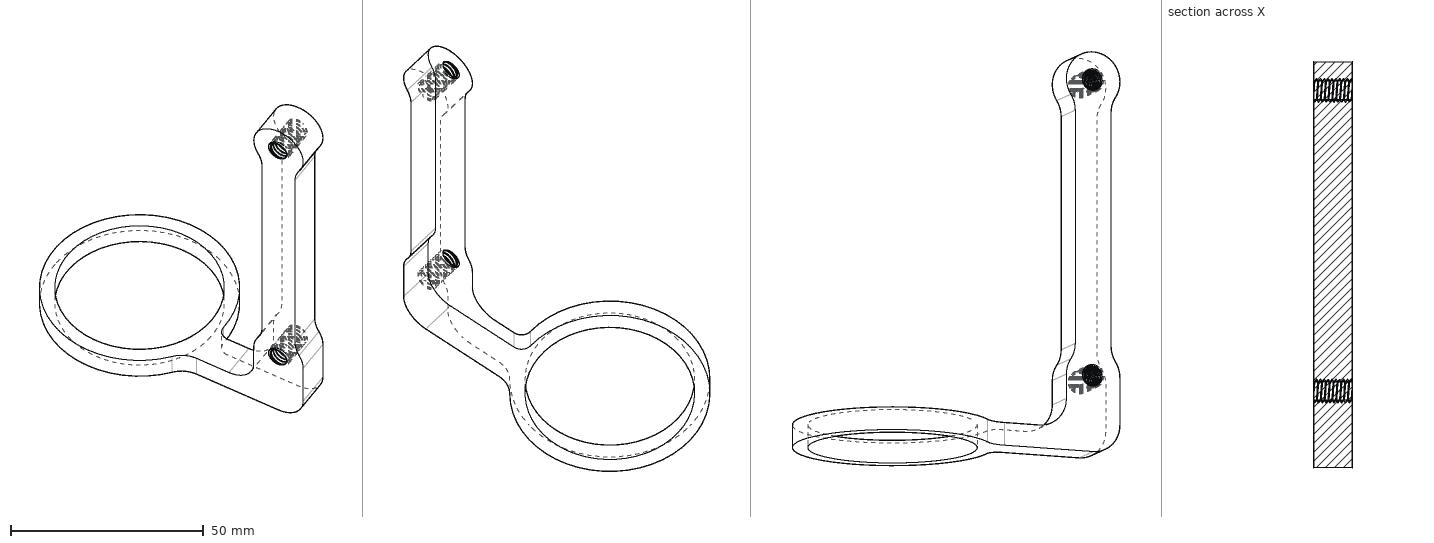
import cadquery as cq
import math

ring_diameter = 52.0
bore_diameter = 44.0
base_height = 6.0

plate_front = -14.0
plate_back = -4.0
plate_thickness = plate_back - plate_front
total_height = 105.5
head_radius = 7.5
shaft_width = 10.0
right_end = 84.0 - ring_diameter / 2
column_x = right_end - head_radius
upper_hole_z = total_height - head_radius
lower_hole_z = upper_hole_z - 78.0
bend_radius = 7.5
neck_radius = 7.5

front_blend_radius = 7.5
back_blend_radius = 3.0

minor_diameter = 5.1
major_diameter = 6.1
thread_pitch = 1.0
groove_width = 0.8
groove_overlap = 0.1


def box_between(x_min, x_max, z_min, z_max):
    """Block across the plate thickness, given by its X and Z limits."""
    return cq.Workplane("XY").box(
        x_max - x_min, plate_thickness, z_max - z_min, centered=False
    ).translate((x_min, plate_front, z_min))


def make_base():
    """Ring and horizontal arm, blended together; the bore is cut later."""
    disc = cq.Workplane("XY").circle(ring_diameter / 2).extrude(base_height)
    arm = box_between(0, column_x, 0, base_height)
    base = disc.union(arm)
    for side_y, blend_radius in (
        (plate_front, front_blend_radius),
        (plate_back, back_blend_radius),
    ):
        corner_x = math.sqrt((ring_diameter / 2) ** 2 - side_y ** 2)
        corner = cq.selectors.NearestToPointSelector((corner_x, side_y, base_height / 2))
        base = base.edges("|Z").edges(corner).fillet(blend_radius)
    return base


def make_column():
    """Upright with rounded heads at both holes and a rounded bend at its foot."""
    left = column_x - head_radius
    foot = box_between(left - 2 * bend_radius, right_end, 0, base_height)
    foot = foot.union(box_between(left, right_end, 0, lower_hole_z))
    for corner_point, radius in (
        ((left, plate_front, base_height), bend_radius),
        ((right_end, plate_front, 0), bend_radius),
    ):
        x, y, z = corner_point
        corner = cq.selectors.NearestToPointSelector((x, y + plate_thickness / 2, z))
        foot = foot.edges("|Y").edges(corner).fillet(radius)

    shaft = box_between(
        column_x - shaft_width / 2, column_x + shaft_width / 2, lower_hole_z, upper_hole_z
    )
    column = foot.union(shaft)
    for hole_z in (lower_hole_z, upper_hole_z):
        head = (
            cq.Workplane("XZ", origin=(column_x, plate_back, hole_z))
            .circle(head_radius)
            .extrude(plate_thickness)
        )
        column = column.union(head)

    neck_rise = math.sqrt(head_radius ** 2 - (shaft_width / 2) ** 2)
    mid_y = (plate_front + plate_back) / 2
    for neck_z in (lower_hole_z + neck_rise, upper_hole_z - neck_rise):
        for side in (-1, 1):
            neck_point = (column_x + side * shaft_width / 2, mid_y, neck_z)
            neck = cq.selectors.NearestToPointSelector(neck_point)
            column = column.edges("|Y").edges(neck).fillet(neck_radius)
    return column


def make_thread_groove():
    """Helical V groove around the Z axis, running one pitch past both plate faces."""
    root_radius = minor_diameter / 2 - groove_overlap
    groove_length = plate_thickness + 2 * thread_pitch
    path = cq.Wire.makeHelix(thread_pitch, groove_length, root_radius)
    profile = cq.Workplane("XZ").polyline([
        (root_radius, -groove_width / 2),
        (major_diameter / 2, 0),
        (root_radius, groove_width / 2),
    ]).close()
    return profile.sweep(cq.Workplane(path), isFrenet=True)


def cut_threaded_holes(body):
    """Cut both holes, with the groove deepest toward -X at the front face."""
    groove = (
        make_thread_groove()
        .translate((0, 0, -thread_pitch))
        .rotate((0, 0, 0), (0, 0, 1), 180)
        .rotate((0, 0, 0), (1, 0, 0), -90)
    )
    for hole_z in (lower_hole_z, upper_hole_z):
        drill = (
            cq.Workplane("XZ", origin=(column_x, plate_back, hole_z))
            .circle(minor_diameter / 2)
            .extrude(plate_thickness)
        )
        body = body.cut(groove.translate((column_x, plate_front, hole_z))).cut(drill)
    return body


base = make_base()
bend_clearance = box_between(column_x - head_radius, right_end, 0, base_height)
bore = cq.Workplane("XY").circle(bore_diameter / 2).extrude(base_height)
body = base.cut(bend_clearance).union(make_column()).cut(bore)
result = cut_threaded_holes(body)